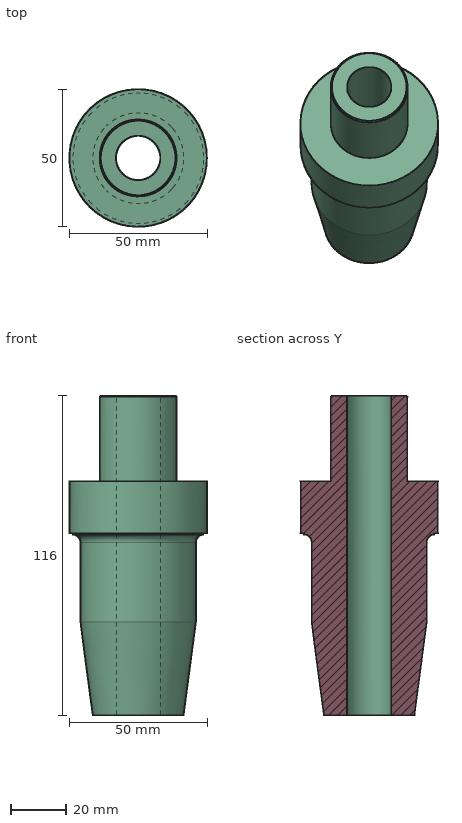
import cadquery as cq
import math

tip_radius = 16.5
body_radius = 21.0
flange_radius = 25.0
spigot_radius = 14.0
bore_radius = 8.0

taper_height = 34.0
flange_bottom = 66.0
flange_thickness = 19.0
flange_top = flange_bottom + flange_thickness
total_height = 116.0

neck_fillet = 2.7
spigot_chamfer = 0.5

step_height = 0.45
step_radius = body_radius + neck_fillet
step_bottom = flange_bottom - step_height


def half_profile():
    """Closed half section in the XZ plane, from the bore wall outwards."""
    fillet_start_z = step_bottom - neck_fillet
    diagonal = neck_fillet * math.sqrt(0.5)
    fillet_middle = (step_radius - diagonal, fillet_start_z + diagonal)

    return (
        cq.Workplane("XZ")
        .moveTo(bore_radius, 0)
        .lineTo(tip_radius, 0)
        .lineTo(body_radius, taper_height)
        .lineTo(body_radius, fillet_start_z)
        .threePointArc(fillet_middle, (step_radius, step_bottom))
        .lineTo(step_radius, flange_bottom)
        .lineTo(flange_radius, flange_bottom)
        .lineTo(flange_radius, flange_top)
        .lineTo(spigot_radius, flange_top)
        .lineTo(spigot_radius, total_height - spigot_chamfer)
        .lineTo(spigot_radius - spigot_chamfer, total_height)
        .lineTo(bore_radius, total_height)
        .close()
    )


result = half_profile().revolve(360, (0, 0, 0), (0, 1, 0))